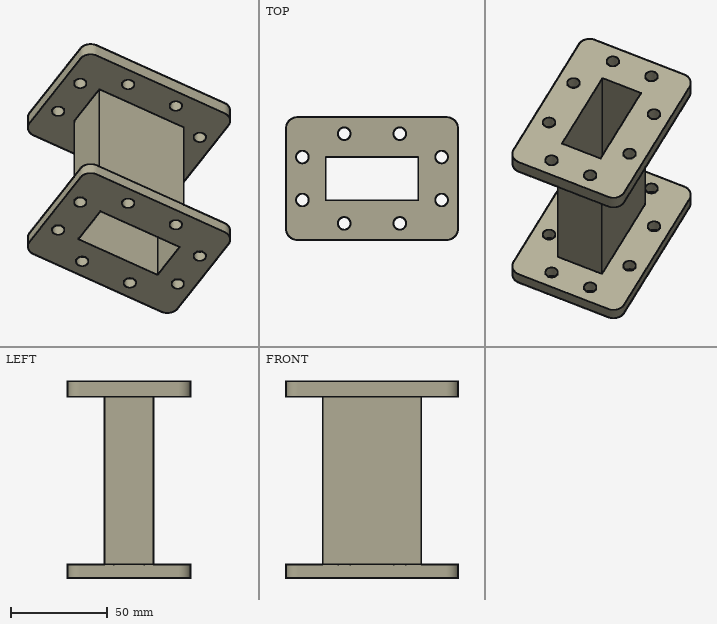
import cadquery as cq

flange_length = 88.9
flange_width = 63.5
corner_radius = 6.1
bottom_thickness = 7.1
top_thickness = 8.1

total_height = 101.6
bore_length = 47.5
bore_width = 22.1
wall = 1.6

hole_diameter = 6.4
long_edge_spacing = 28.7
long_edge_row_gap = 46.2
short_edge_spacing = 22.1
short_edge_row_gap = 71.8


def block(length, width, height, base_z):
    """Box centred on the Z axis, standing on base_z."""
    return (
        cq.Workplane("XY")
        .workplane(offset=base_z)
        .rect(length, width)
        .extrude(height)
    )


def flange(thickness, base_z):
    """Rounded plate with two bolt holes along each edge."""
    return (
        block(flange_length, flange_width, thickness, base_z)
        .edges("|Z")
        .fillet(corner_radius)
        .faces(">Z")
        .workplane(origin=(0, 0, 0))
        .rect(long_edge_spacing, long_edge_row_gap, forConstruction=True)
        .vertices()
        .hole(hole_diameter)
        .faces(">Z")
        .workplane(origin=(0, 0, 0))
        .rect(short_edge_row_gap, short_edge_spacing, forConstruction=True)
        .vertices()
        .hole(hole_diameter)
    )


tube = block(bore_length + 2 * wall, bore_width + 2 * wall, total_height, 0)
bore = block(bore_length, bore_width, total_height, 0)
bottom_flange = flange(bottom_thickness, 0)
top_flange = flange(top_thickness, total_height - top_thickness)

result = tube.union(bottom_flange).union(top_flange).cut(bore)